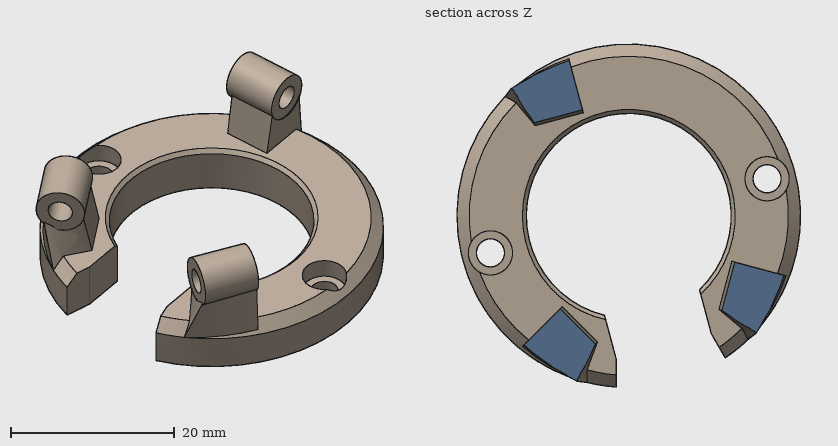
import cadquery as cq
import math

TOTAL_HEIGHT = 15.5
RING_RADIUS = 21.0
BORE_RADIUS = 12.5
RING_HEIGHT = 6.0
OUTER_CHAMFER = 1.5
BORE_CHAMFER = 0.5

GAP_ANGLE = -75.0
GAP_HALF_WIDTH = 6.0
FLARE_START = 16.5
FLARE_ANGLE = 15.0
GAP_END = RING_RADIUS + 2.0

SCREW_CIRCLE_RADIUS = 17.5
SCREW_HOLE_DIAMETER = 3.4
SCREW_HEAD_DIAMETER = 5.4
SCREW_HEAD_DEPTH = 2.5
SCREW_ANGLES = [GAP_ANGLE + 90.0, GAP_ANGLE + 270.0]

BARREL_DIAMETER = 6.0
BARREL_HOLE_DIAMETER = 3.0
BARREL_LENGTH = 7.0
BARREL_START = 2.0
BARREL_OFFSET = 17.4
BARREL_HEIGHT = TOTAL_HEIGHT - BARREL_DIAMETER / 2

WEB_TOP_WIDTH = 5.0
WEB_START_SETBACK = 0.1
WEB_TOP_SETBACK = 0.6
WEB_FOOT_HEIGHT = 4.0
WEB_FOOT_INNER = 13.2
WEB_FOOT_START_RADIUS = 20.55
WEB_FOOT_END_RADIUS = 20.98
WEB_FOOT_END_ANGLE = 31.6

LUG_SPACING = 120.0
LUGS = [
    (GAP_ANGLE - 1.5 * LUG_SPACING, False),
    (GAP_ANGLE - 0.5 * LUG_SPACING, False),
    (GAP_ANGLE + 0.5 * LUG_SPACING, True),
]


def polar_point(radius, angle):
    """Plane point at a radius and an angle in radians."""
    return (radius * math.cos(angle), radius * math.sin(angle))


def make_ring():
    """Flat ring with chamfered upper edges."""
    disc = cq.Workplane("XY").circle(RING_RADIUS).extrude(RING_HEIGHT)
    disc = disc.faces(">Z").chamfer(OUTER_CHAMFER)
    bore = cq.Workplane("XY").circle(BORE_RADIUS).extrude(RING_HEIGHT)
    bore_chamfer = (
        cq.Workplane("XY", origin=(0, 0, RING_HEIGHT - BORE_CHAMFER))
        .circle(BORE_RADIUS)
        .workplane(offset=BORE_CHAMFER)
        .circle(BORE_RADIUS + BORE_CHAMFER)
        .loft(ruled=True)
    )
    return disc.cut(bore).cut(bore_chamfer)


def make_gap():
    """Cutter for the opening, running outwards from the ring centre."""
    end_half_width = GAP_HALF_WIDTH + (GAP_END - FLARE_START) * math.tan(math.radians(FLARE_ANGLE))
    outline = [
        (0, -GAP_HALF_WIDTH),
        (FLARE_START, -GAP_HALF_WIDTH),
        (GAP_END, -end_half_width),
        (GAP_END, end_half_width),
        (FLARE_START, GAP_HALF_WIDTH),
        (0, GAP_HALF_WIDTH),
    ]
    gap = cq.Workplane("XY").polyline(outline).close().extrude(RING_HEIGHT)
    return gap.rotate((0, 0, 0), (0, 0, 1), GAP_ANGLE)


def make_screw_hole(angle):
    """Cutter for one through hole with its counterbore."""
    x, y = polar_point(SCREW_CIRCLE_RADIUS, math.radians(angle))
    shank = cq.Workplane("XY", origin=(x, y, 0)).circle(SCREW_HOLE_DIAMETER / 2).extrude(RING_HEIGHT)
    head = (
        cq.Workplane("XY", origin=(x, y, RING_HEIGHT - SCREW_HEAD_DEPTH))
        .circle(SCREW_HEAD_DIAMETER / 2)
        .extrude(SCREW_HEAD_DEPTH)
    )
    return shank.union(head)


def make_web():
    """Web lofted from its foot to the mid-height of the barrel, cut square at its start."""
    end_angle = math.radians(WEB_FOOT_END_ANGLE)
    middle_radius = (WEB_FOOT_START_RADIUS + WEB_FOOT_END_RADIUS) / 2
    arc_middle = polar_point(middle_radius, end_angle / 2)
    arc_end = polar_point(WEB_FOOT_END_RADIUS, end_angle)
    top_inner = BARREL_OFFSET - WEB_TOP_WIDTH / 2
    top_outer = BARREL_OFFSET + WEB_TOP_WIDTH / 2
    web_start = BARREL_START + WEB_START_SETBACK
    top_end = BARREL_START + BARREL_LENGTH - WEB_TOP_SETBACK
    full_web = (
        cq.Workplane("XY", origin=(0, 0, WEB_FOOT_HEIGHT))
        .moveTo(WEB_FOOT_INNER, 0)
        .lineTo(WEB_FOOT_START_RADIUS, 0)
        .threePointArc(arc_middle, arc_end)
        .lineTo(WEB_FOOT_INNER, WEB_FOOT_INNER * math.tan(end_angle))
        .close()
        .workplane(offset=BARREL_HEIGHT - WEB_FOOT_HEIGHT)
        .moveTo(top_inner, 0)
        .lineTo(top_outer, 0)
        .lineTo(top_outer, top_end)
        .lineTo(top_inner, top_end)
        .close()
        .loft(ruled=True)
    )
    surplus = cq.Workplane("XY").rect(2 * RING_RADIUS, 2 * web_start).extrude(BARREL_HEIGHT)
    return full_web.cut(surplus)


def make_barrel_cylinder(diameter):
    """Cylinder along the barrel axis, as long as the barrel."""
    plane = cq.Plane(origin=(BARREL_OFFSET, BARREL_START, BARREL_HEIGHT), xDir=(1, 0, 0), normal=(0, 1, 0))
    return cq.Workplane(plane).circle(diameter / 2).extrude(BARREL_LENGTH)


def make_lug(angle, mirrored):
    """Web and drilled barrel, turned to its outward direction."""
    lug = make_web().union(make_barrel_cylinder(BARREL_DIAMETER))
    lug = lug.cut(make_barrel_cylinder(BARREL_HOLE_DIAMETER))
    if mirrored:
        lug = lug.mirror("XZ")
    return lug.rotate((0, 0, 0), (0, 0, 1), angle)


result = make_ring().cut(make_gap())
for screw_angle in SCREW_ANGLES:
    result = result.cut(make_screw_hole(screw_angle))
for lug_angle, lug_mirrored in LUGS:
    result = result.union(make_lug(lug_angle, lug_mirrored))